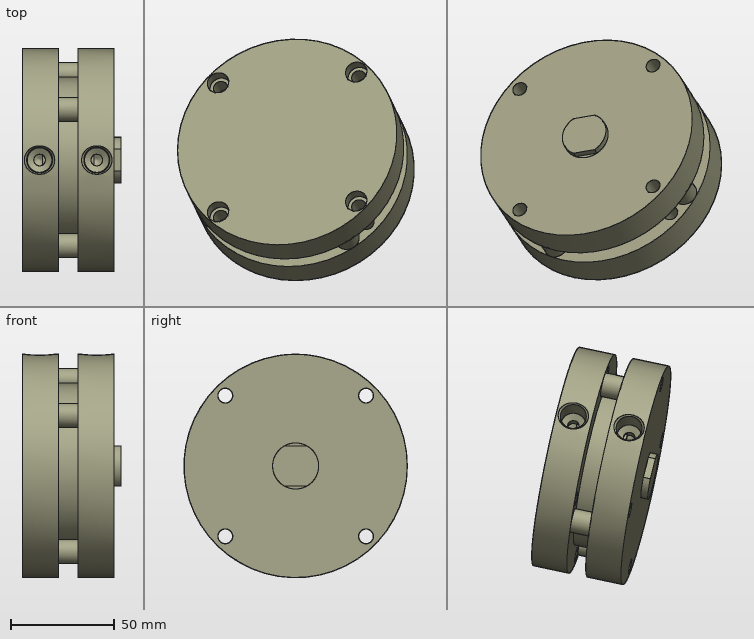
import cadquery as cq
import math

head_diameter = 108.0
head_thickness = 17.5
gap = 9.3

barrel_diameter = 80.1
barrel_seat_depth = 7.8

bolt_circle_radius = 48.0
bolt_hole_diameter = 7.0
counterbore_diameter = 10.5
counterbore_depth = 6.6
bolt_angles = [45, 135, 225, 315]

spacer_diameter = 11.7
spacer_lead_angle = 14.4

port_offset = 9.2
port_mouth_diameter = 12.5
port_floor_diameter = 11.9
port_depth = 10.8
port_chamfer = 1.1
feed_diameter = 5.6
feed_depth = 16.2
drill_point_angle = 118.0

rod_diameter = 22.2
rod_projection = 3.5
rod_flat_width = 19.4

head_radius = head_diameter / 2
left_inner_face = head_thickness
right_inner_face = left_inner_face + gap
right_outer_face = right_inner_face + head_thickness
barrel_start = left_inner_face - barrel_seat_depth
barrel_length = gap + 2 * barrel_seat_depth
barrel_end = barrel_start + barrel_length
bored_length = right_outer_face - barrel_end


def x_cylinder(diameter, start, length, y=0.0, z=0.0):
    """Cylinder along +X that starts at X = start."""
    base = cq.Workplane("YZ", origin=(start, y, z))
    return base.circle(diameter / 2).extrude(length)


def on_bolt_circle(angle):
    """Y and Z of a place on the bolt circle; the angle runs from +Y towards +Z."""
    turn = math.radians(angle)
    return bolt_circle_radius * math.cos(turn), bolt_circle_radius * math.sin(turn)


def port_cutter(x):
    """Chamfered, tapered port and a narrower feed hole below it, each ending in a drill point."""
    point_slope = 1 / math.tan(math.radians(drill_point_angle / 2))
    port_radius = port_mouth_diameter / 2
    floor_radius = port_floor_diameter / 2
    feed_radius = feed_diameter / 2
    mouth_radius = port_radius + port_chamfer
    port_floor = head_radius - port_depth
    feed_floor = head_radius - feed_depth
    half_profile = (
        cq.Workplane("XZ")
        .moveTo(0, head_radius + port_chamfer)
        .lineTo(mouth_radius + port_chamfer, head_radius + port_chamfer)
        .lineTo(port_radius, head_radius - port_chamfer)
        .lineTo(floor_radius, port_floor)
        .lineTo(feed_radius, port_floor - (floor_radius - feed_radius) * point_slope)
        .lineTo(feed_radius, feed_floor)
        .lineTo(0, feed_floor - feed_radius * point_slope)
        .close()
    )
    return half_profile.revolve(360, (0, 0), (0, 1)).translate((x, 0, 0))


def make_head(outer_start, port_x):
    """Round head with bolt holes, a seat for the barrel and a port in the top rim."""
    head = x_cylinder(head_diameter, outer_start, head_thickness)
    for angle in bolt_angles:
        y, z = on_bolt_circle(angle)
        head = head.cut(x_cylinder(bolt_hole_diameter, outer_start, head_thickness, y, z))
    head = head.cut(port_cutter(port_x))
    return head.cut(x_cylinder(barrel_diameter, barrel_start, barrel_length))


def make_left_head():
    """Head whose bolt holes are counterbored from the outer face."""
    head = make_head(0, left_inner_face - port_offset)
    for angle in bolt_angles:
        y, z = on_bolt_circle(angle)
        head = head.cut(x_cylinder(counterbore_diameter, 0, counterbore_depth, y, z))
    return head


def make_right_head():
    """Head with a bore that lets the rod out."""
    head = make_head(right_inner_face, right_inner_face + port_offset)
    return head.cut(x_cylinder(rod_diameter, barrel_end, bored_length))


def make_barrel():
    """Round barrel seated in both heads."""
    return x_cylinder(barrel_diameter, barrel_start, barrel_length)


def make_spacer(angle):
    """Round spacer that holds the inner faces of the heads apart."""
    y, z = on_bolt_circle(angle)
    return x_cylinder(spacer_diameter, left_inner_face, gap, y, z)


def make_rod():
    """Rod through the right head, with two wrench flats on its projecting end."""
    shank = x_cylinder(rod_diameter, barrel_end, bored_length)
    flat_block = cq.Workplane("XY").box(rod_projection, rod_diameter, rod_flat_width)
    flat_block = flat_block.translate((right_outer_face + rod_projection / 2, 0, 0))
    tip = x_cylinder(rod_diameter, right_outer_face, rod_projection).intersect(flat_block)
    return shank.union(tip)


left_head = make_left_head()
right_head = make_right_head()
barrel = make_barrel()
rod = make_rod()
spacers = [make_spacer(angle + spacer_lead_angle) for angle in bolt_angles]

result = cq.Compound.makeCompound([
    left_head.val(),
    right_head.val(),
    barrel.val(),
    rod.val(),
    *[spacer.val() for spacer in spacers],
])